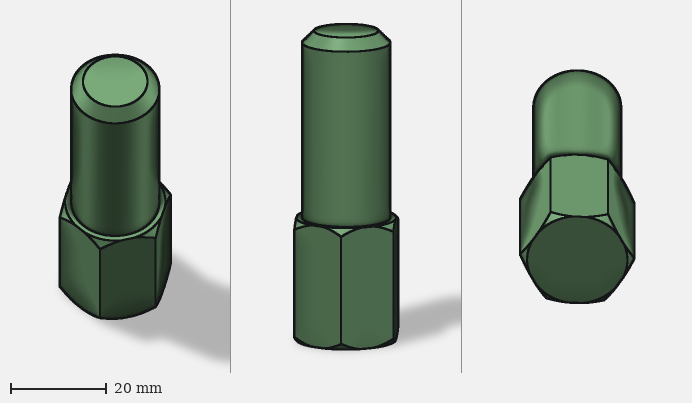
import cadquery as cq

total_height = 66.0
hex_height = 26.0
across_corners = 24.04
end_face_diameter = 21.0
shank_diameter = 18.5
shank_chamfer = 2.5

corner_radius = across_corners / 2
corner_chamfer = corner_radius - end_face_diameter / 2
shank_length = total_height - hex_height


def chamfered_hex():
    """Hexagon with two corners on the X axis and conical chamfers at both ends."""
    prism = cq.Workplane("XY").polygon(6, across_corners).extrude(hex_height)
    turned_envelope = (
        cq.Workplane("XY")
        .circle(corner_radius)
        .extrude(hex_height)
        .faces("<Z or >Z")
        .chamfer(corner_chamfer)
    )
    return prism.intersect(turned_envelope)


def shank():
    """Round shank standing on the hexagon, with a chamfered tip."""
    return (
        cq.Workplane("XY")
        .workplane(offset=hex_height)
        .circle(shank_diameter / 2)
        .extrude(shank_length)
        .faces(">Z")
        .chamfer(shank_chamfer)
    )


result = chamfered_hex().union(shank())